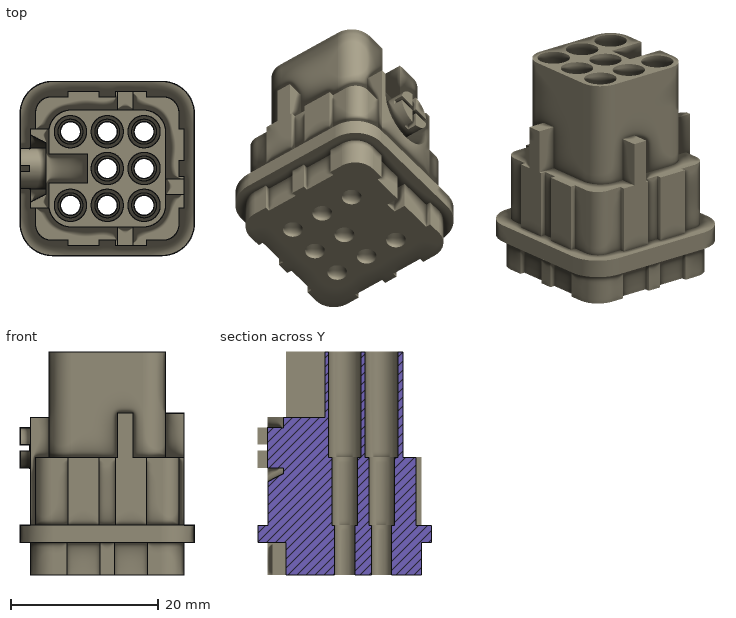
import cadquery as cq

total_height = 30.3
base_height = 4.4
flange_top = 6.8
body_top = 16.0
latch_top = 21.42
rib_top = 22.0

base_width = 20.9
base_corner = 3.03
flange_width = 23.7
flange_corner = 4.42
body_width = 19.45
body_corner = 2.12
tower_width = 15.88
tower_corner = 3.03

groove_inner = 0.97
groove_outer = 5.48
groove_depth = 0.7
key_slot_low = -0.65
key_slot_depth = 2.42

lug_width = base_width
lug_inner = 1.1
lug_outer = 5.35
rib_inner = 1.42
rib_outer = 3.5

hole_pitch = 5.0
socket_diameter = 4.4
neck_diameter = 3.4
bore_diameter = 2.7
keyway_width = 4.0
keyway_end = -2.7

screw_height = 17.27
screw_diameter = 5.55
recess_mouth_radius = 4.58
recess_floor_radius = 3.48
recess_depth = 2.12
cross_width = 0.8
cross_depth = 1.3

flange_face = flange_width / 2
lug_face = lug_width / 2
recess_floor = -lug_face + recess_depth


def box(x_range, y_range, z_range):
    """Box spanning the given (low, high) ranges."""
    sizes = [high - low for low, high in (x_range, y_range, z_range)]
    corner = (x_range[0], y_range[0], z_range[0])
    return cq.Workplane("XY").box(*sizes, centered=False).translate(corner)


def rounded_block(width, corner_radius, bottom, top):
    """Square block with rounded vertical edges, centred on the Z axis."""
    block = cq.Workplane("XY").workplane(offset=bottom).rect(width, width).extrude(top - bottom)
    return block.edges("|Z").fillet(corner_radius)


def on_side(shape, turns):
    """Turn a shape made for the +X side by quarter turns about the Z axis."""
    return shape.rotate((0, 0, 0), (0, 0, 1), 90 * turns)


def base():
    """Base block with two shallow grooves per side and a deep key slot on the -X side."""
    block = rounded_block(base_width, base_corner, 0, base_height)
    face = base_width / 2
    for turns in range(4):
        for low, high in ((groove_inner, groove_outer), (-groove_outer, -groove_inner)):
            groove = box((face - groove_depth, face), (low, high), (0, base_height))
            block = block.cut(on_side(groove, turns))
    key_slot = box((-face, -face + key_slot_depth), (key_slot_low, groove_inner), (0, base_height))
    groove_extension = box((-face, -face + groove_depth), (-groove_inner, key_slot_low), (0, base_height))
    return block.cut(key_slot).cut(groove_extension)


def body():
    """Body block with a pair of lugs on the +X, +Y and -Y sides."""
    block = rounded_block(body_width, body_corner, flange_top, body_top)
    for turns in (0, 1, 3):
        for low, high in ((lug_inner, lug_outer), (-lug_outer, -lug_inner)):
            lug = box((0, lug_face), (low, high), (flange_top, body_top))
            block = block.union(on_side(lug, turns))
    return block


def ribs():
    """Upright ribs between tower and lugs: one on +X, and two facing each other on +Y and -Y."""
    rib_z = (flange_top, rib_top)
    upright = box((rib_inner, rib_outer), (-lug_face, lug_face), rib_z)
    side_rib = box((0, lug_face), (-rib_outer, -rib_inner), rib_z)
    return upright.union(side_rib)


def tower():
    """Tall block with a keyway on its -X side, open at the top."""
    block = rounded_block(tower_width, tower_corner, flange_top, total_height)
    half_keyway = keyway_width / 2
    keyway = box(
        (-tower_width / 2, keyway_end),
        (-half_keyway, half_keyway),
        (latch_top, total_height),
    )
    return block.cut(keyway)


def u_profile(plane, radius):
    """U outline around the screw centre, open towards the top of the latch plate."""
    rise = latch_top - screw_height
    return (
        plane.moveTo(-radius, rise)
        .lineTo(-radius, 0)
        .threePointArc((0, -radius), (radius, 0))
        .lineTo(radius, rise)
        .close()
    )


def latch_plate():
    """Thick plate on the -X side, standing higher than the body."""
    return box((-lug_face, 0), (-lug_outer, lug_outer), (flange_top, latch_top))


def screw_recess():
    """U-shaped recess that narrows from the face of the latch plate to its floor."""
    mouth_plane = cq.Workplane("YZ", origin=(-lug_face, 0, screw_height))
    mouth = u_profile(mouth_plane, recess_mouth_radius)
    return u_profile(mouth.workplane(offset=recess_depth), recess_floor_radius).loft(ruled=True)


def screw():
    """Cylindrical screw head with a cross slot, standing on the recess floor."""
    head = (
        cq.Workplane("YZ", origin=(-flange_face, 0, screw_height))
        .circle(screw_diameter / 2)
        .extrude(flange_face + recess_floor)
    )
    cross = (
        cq.Workplane("YZ", origin=(-flange_face, 0, screw_height))
        .rect(cross_width, screw_diameter)
        .extrude(cross_depth)
    )
    cross = cross.union(cross.rotate((0, 0, screw_height), (1, 0, screw_height), 90))
    return head.cut(cross)


def contact_holes():
    """Stepped through holes on a 3 x 3 grid, without the one taken by the keyway."""
    steps = ((socket_diameter, body_top), (neck_diameter, flange_top), (bore_diameter, 0))
    centres = [
        (column * hole_pitch, row * hole_pitch)
        for column in (-1, 0, 1)
        for row in (-1, 0, 1)
        if (column, row) != (-1, 0)
    ]
    holes = cq.Workplane("XY")
    for diameter, bottom in steps:
        step = (
            cq.Workplane("XY")
            .workplane(offset=bottom)
            .pushPoints(centres)
            .circle(diameter / 2)
            .extrude(total_height - bottom)
        )
        holes = holes.union(step)
    return holes


result = (
    base()
    .union(rounded_block(flange_width, flange_corner, base_height, flange_top))
    .union(body())
    .union(ribs())
    .union(latch_plate())
    .union(tower())
    .cut(screw_recess())
    .union(screw())
    .cut(contact_holes())
)